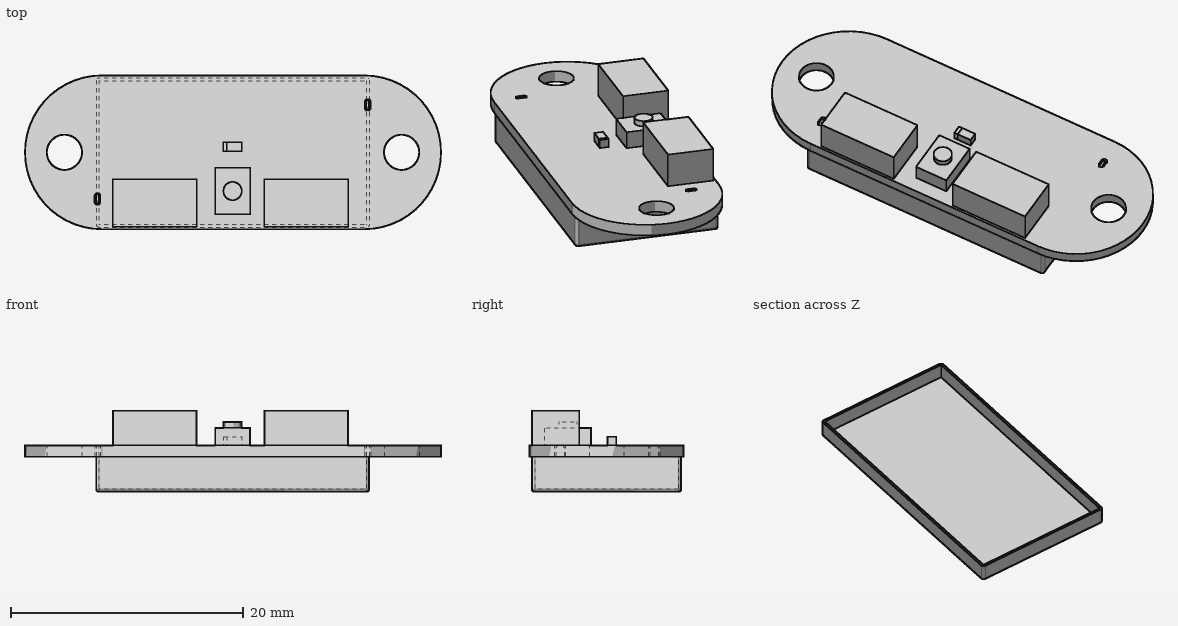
import cadquery as cq

BOARD_LENGTH = 35.85
BOARD_WIDTH = 13.25
BOARD_THICKNESS = 1.0
MOUNTING_HOLE_DIAMETER = 3.0
MOUNTING_HOLE_SPACING = 29.03

TOTAL_HEIGHT = 7.0
PARTS_CENTER_X = -0.05

CAN_LENGTH = 23.5
CAN_WIDTH = 12.85
CAN_DEPTH = 3.0
CAN_WALL = 0.25
CAN_EDGE_RADIUS = 0.25

TAB_WIDTH = 0.7
TAB_CORNER_RADIUS = 0.2
TAB_OFFSET_Y = 4.05
TAB_PAIR_CENTER_Y = 0.05
SLOT_LENGTH = 0.95
SLOT_WIDTH = 0.5

CONNECTOR_LENGTH = 7.2
CONNECTOR_WIDTH = 4.1
CONNECTOR_HEIGHT = TOTAL_HEIGHT - CAN_DEPTH - BOARD_THICKNESS
CONNECTOR_SPACING = 13.05
CONNECTOR_PAIR_CENTER_X = -0.2
CONNECTOR_FRONT_GAP = 0.2

BUTTON_LENGTH = 3.0
BUTTON_WIDTH = 4.0
BUTTON_HEIGHT = 1.5
BUTTON_CENTER_Y = -3.35
PLUNGER_DIAMETER = 1.58
PLUNGER_HEIGHT = 0.5

CHIP_LENGTH = 1.6
CHIP_WIDTH = 0.8
CHIP_HEIGHT = 0.75
CHIP_CENTER_Y = 0.45
TERMINAL_LENGTH = 0.32

SIDES = (-1, 1)


def block(length, width, height, x, y, z=0.0):
    """A box centred on (x, y) that stands on the level z."""
    return cq.Workplane("XY", origin=(x, y, z)).box(length, width, height, centered=(True, True, False))


def tab_center_x(side):
    """X of the middle of the can wall on the given side."""
    return PARTS_CENTER_X + side * (CAN_LENGTH - CAN_WALL) / 2


def tab_center_y(side):
    """Y of the middle of the tab on the given side."""
    return TAB_PAIR_CENTER_Y + side * TAB_OFFSET_Y


def make_board():
    board = (
        cq.Workplane("XY")
        .workplane(offset=-BOARD_THICKNESS)
        .slot2D(BOARD_LENGTH, BOARD_WIDTH)
        .extrude(BOARD_THICKNESS)
    )
    board = (
        board.faces(">Z")
        .workplane(origin=(0, 0, 0))
        .rarray(MOUNTING_HOLE_SPACING, 0.35, 2, 1)
        .hole(MOUNTING_HOLE_DIAMETER)
    )
    slots = (
        cq.Workplane("XY")
        .pushPoints([(tab_center_x(side), tab_center_y(side)) for side in SIDES])
        .slot2D(SLOT_LENGTH, SLOT_WIDTH, 90)
        .extrude(-BOARD_THICKNESS)
    )
    return board.cut(slots)


def make_tab(side):
    """An upright tab with rounded top corners, flush with the top of the board."""
    tab = block(
        CAN_WALL, TAB_WIDTH, BOARD_THICKNESS, tab_center_x(side), tab_center_y(side), -BOARD_THICKNESS
    )
    return tab.faces(">Z").edges("|X").fillet(TAB_CORNER_RADIUS)


def make_can():
    can_bottom = -BOARD_THICKNESS - CAN_DEPTH
    can = block(CAN_LENGTH, CAN_WIDTH, CAN_DEPTH, PARTS_CENTER_X, 0, can_bottom)
    can = can.edges("|Z or <Z").fillet(CAN_EDGE_RADIUS)
    cavity = block(
        CAN_LENGTH - 2 * CAN_WALL,
        CAN_WIDTH - 2 * CAN_WALL,
        CAN_DEPTH - CAN_WALL,
        PARTS_CENTER_X,
        0,
        can_bottom + CAN_WALL,
    )
    can = can.cut(cavity)
    for side in SIDES:
        can = can.union(make_tab(side))
    return can


def make_connector(x):
    y = -BOARD_WIDTH / 2 + CONNECTOR_FRONT_GAP + CONNECTOR_WIDTH / 2
    return block(CONNECTOR_LENGTH, CONNECTOR_WIDTH, CONNECTOR_HEIGHT, x, y)


def make_button_base():
    return block(BUTTON_LENGTH, BUTTON_WIDTH, BUTTON_HEIGHT, PARTS_CENTER_X, BUTTON_CENTER_Y)


def make_plunger():
    return (
        cq.Workplane("XY", origin=(PARTS_CENTER_X, BUTTON_CENTER_Y, BUTTON_HEIGHT))
        .circle(PLUNGER_DIAMETER / 2)
        .extrude(PLUNGER_HEIGHT)
    )


def make_chip_piece(start, length):
    """A length of the chip, with its -X end at the given distance from the -X end of the chip."""
    x = PARTS_CENTER_X - CHIP_LENGTH / 2 + start + length / 2
    return block(length, CHIP_WIDTH, CHIP_HEIGHT, x, CHIP_CENTER_Y)


board = make_board()
can = make_can()
connectors = [make_connector(CONNECTOR_PAIR_CENTER_X + side * CONNECTOR_SPACING / 2) for side in SIDES]
button_base = make_button_base()
plunger = make_plunger()
chip_terminal = make_chip_piece(0, TERMINAL_LENGTH)
chip_body = make_chip_piece(TERMINAL_LENGTH, CHIP_LENGTH - TERMINAL_LENGTH)

result = cq.Compound.makeCompound(
    [
        board.val(),
        can.val(),
        *[connector.val() for connector in connectors],
        button_base.val(),
        plunger.val(),
        chip_terminal.val(),
        chip_body.val(),
    ]
)